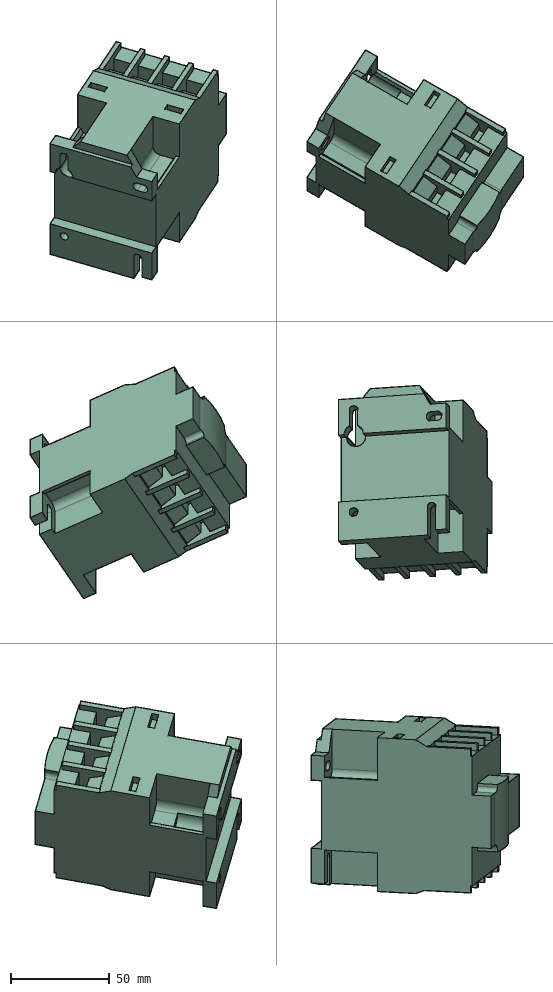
import cadquery as cq
import math


width = 56.6
depth = 96.4
height = 80

mount_face_y = 5.4
shoulder_y = 55.1
upper_chamfer_end_y = 61.2
lower_chamfer_end_y = 59.6
rib_end_y = 83.9
housing_back_y = 84.8
upper_rib_z = 76.7
lower_rib_z = 1.8
rib_height = 3.7

flange_thickness = 7.1
lower_flange_top = 20.6
upper_flange_bottom = 56.0
upper_flange_top = 74.8
notched_corner_z = 69.0
notched_corner_x = 48.1
cut_flange_bottom = 2.5

pocket_back_y = 34.9
upper_left_pocket_depth = 16.1
upper_right_pocket_depth = 14.65
lower_pocket_depth = 13.3
lip_width = 1.8
lip_slope_width = 1.4
upper_lip_z = 57.8
lower_lip_z = 20.05
pocket_floor_drop = 2.5
pocket_fillet = 4.05

wedge_front_y = 2.1
wedge_left_bottom_x = 11.8
wedge_left_top_x = upper_left_pocket_depth
wedge_right_top_x = width - upper_right_pocket_depth
wedge_right_slope = (notched_corner_x - wedge_right_top_x) / (height - notched_corner_z)
wedge_right_bottom_x = wedge_right_top_x + wedge_right_slope * (height - upper_flange_top)

left_hole_x = 7.9
lower_hole_z = 14.8
hole_radius = 2.2
open_slot_x = 48.9
keyhole_z = 55.9
keyhole_head_radius = 5.0
keyhole_head_depth = 23.1
keyhole_stem_top = 70.9
obround_x = 50.2
obround_z = 62.7
obround_length = 8.1
obround_width = 4.8

terminal_count = 4
rib_width = 2.6
terminal_front_y = 61.6
ramp_end_y = 69.6
clamp_front_y = 75.0
terminal_floor_depth = 14.5
ramp_start_depth = 2.5
ramp_end_depth = 6.6

top_slot_length = 9.1
top_slot_width = 3.6
top_slot_depth = 4.8
top_slot_inset = 2.5
top_slot_y = 42.6

knob_side_y = 94.7
knob_center_x = 35.2
knob_bulge_half_width = 13.7
knob_middle_half_width = 10.8
knob_side_bottom = 25.6
knob_side_top = 52.8
knob_middle_bottom = 21.8
knob_middle_top = 56.8
knob_fillet = 2.5


def box(x0, x1, y0, y1, z0, z1):
    """Block between two corners."""
    return cq.Workplane("XY").box(x1 - x0, y1 - y0, z1 - z0, centered=False).translate((x0, y0, z0))


def section(y):
    """Sketch plane across the part at the given y, with X and Z as its axes."""
    return cq.Workplane("XZ", origin=(0, y, 0))


def rod(x, z, radius, y1):
    """Cylinder along Y from the mounting face to y1."""
    return section(0).center(x, z).circle(radius).extrude(-y1)


def housing():
    profile = [
        (mount_face_y, 0),
        (shoulder_y, 0),
        (lower_chamfer_end_y, lower_rib_z),
        (rib_end_y, lower_rib_z),
        (rib_end_y, lower_rib_z + rib_height),
        (housing_back_y, lower_rib_z + rib_height),
        (housing_back_y, upper_rib_z - rib_height),
        (rib_end_y, upper_rib_z - rib_height),
        (rib_end_y, upper_rib_z),
        (upper_chamfer_end_y, upper_rib_z),
        (shoulder_y, height),
        (mount_face_y, height),
    ]
    return cq.Workplane("YZ").polyline(profile).close().extrude(width)


def left_pocket(pocket_depth, lip_z, open_z):
    """Cutter for a pocket in the left side that opens up or down, towards open_z."""
    up = math.copysign(1, open_z - lip_z)
    floor_z = lip_z - up * pocket_floor_drop
    arc_reach = pocket_fillet * math.sqrt(0.5)
    center_x = pocket_depth - pocket_fillet
    center_z = floor_z + up * pocket_fillet
    return (
        section(flange_thickness)
        .moveTo(0, open_z)
        .lineTo(0, lip_z)
        .lineTo(lip_width, lip_z)
        .lineTo(lip_width + lip_slope_width, floor_z)
        .lineTo(center_x, floor_z)
        .threePointArc((center_x + arc_reach, center_z - up * arc_reach), (pocket_depth, center_z))
        .lineTo(pocket_depth, open_z)
        .close()
        .extrude(flange_thickness - pocket_back_y)
    )


def right_pocket(pocket_depth, lip_z, open_z):
    return left_pocket(pocket_depth, lip_z, open_z).mirror("YZ").translate((width, 0, 0))


def lower_flange():
    flange = box(0, width, 0, flange_thickness, 0, lower_flange_top)
    slot_left = open_slot_x - hole_radius
    slot_right = open_slot_x + hole_radius
    flange = flange.cut(rod(left_hole_x, lower_hole_z, hole_radius, flange_thickness))
    flange = flange.cut(rod(open_slot_x, lower_hole_z, hole_radius, flange_thickness))
    flange = flange.cut(box(slot_left, slot_right, 0, flange_thickness, 0, lower_hole_z))
    return flange.cut(box(slot_right, width, 0, flange_thickness, 0, cut_flange_bottom))


def upper_flange():
    """Flange with a notched right corner, plus the wedge that overhangs it."""
    plate_outline = [
        (0, upper_flange_bottom),
        (width, upper_flange_bottom),
        (width, notched_corner_z),
        (notched_corner_x, notched_corner_z),
        (wedge_right_bottom_x, upper_flange_top),
        (0, upper_flange_top),
    ]
    wedge_outline = [
        (wedge_left_bottom_x, upper_flange_top),
        (wedge_right_bottom_x, upper_flange_top),
        (wedge_right_top_x, height),
        (wedge_left_top_x, height),
    ]
    plate = section(0).polyline(plate_outline).close().extrude(-flange_thickness)
    wedge_length = flange_thickness - wedge_front_y
    wedge = section(wedge_front_y).polyline(wedge_outline).close().extrude(-wedge_length)
    obround = (
        section(0)
        .center(obround_x, obround_z)
        .slot2D(obround_length, obround_width)
        .extrude(-flange_thickness)
    )
    return plate.union(wedge).cut(obround)


def keyhole():
    """Cutter: a deep round head with a narrow stem through the upper flange."""
    stem_center_z = keyhole_stem_top - hole_radius
    head = rod(left_hole_x, keyhole_z, keyhole_head_radius, keyhole_head_depth)
    stem = box(
        left_hole_x - hole_radius,
        left_hole_x + hole_radius,
        0,
        flange_thickness,
        keyhole_z,
        stem_center_z,
    )
    stem_end = rod(left_hole_x, stem_center_z, hole_radius, flange_thickness)
    return head.union(stem).union(stem_end)


def terminals(chamfer_end_y, chamfer_height):
    """Cutter for the row of terminal chambers, with the tops of the ribs at z = 0.

    Between the ribs the housing chamfer carries on down to the front of the chambers.
    """
    chamfer_slope = chamfer_height / (chamfer_end_y - shoulder_y)
    chamfer_drop = chamfer_slope * (terminal_front_y - chamfer_end_y)
    profile = [
        (chamfer_end_y, 0),
        (terminal_front_y, -chamfer_drop),
        (terminal_front_y, -ramp_start_depth),
        (ramp_end_y, -ramp_end_depth),
        (ramp_end_y, -terminal_floor_depth),
        (clamp_front_y, -terminal_floor_depth),
        (clamp_front_y, -rib_height),
        (rib_end_y, -rib_height),
        (rib_end_y, 0),
    ]
    pitch = (width - rib_width) / terminal_count
    chamber = cq.Workplane("YZ").polyline(profile).close().extrude(pitch - rib_width)
    row = cq.Workplane("XY")
    for i in range(terminal_count):
        row = row.add(chamber.translate((rib_width + i * pitch, 0, 0)))
    return row.combine()


def top_slot(x0):
    x1 = x0 + top_slot_length
    y1 = top_slot_y + top_slot_width
    return box(x0, x1, top_slot_y, y1, height - top_slot_depth, height)


def knob():
    """Knob with a taller, bulging middle that meets the sides in concave fillets."""
    bulge_left = knob_center_x - knob_bulge_half_width
    bulge_right = knob_center_x + knob_bulge_half_width
    outline = (
        cq.Workplane("XY")
        .moveTo(0, housing_back_y)
        .lineTo(0, knob_side_y)
        .lineTo(bulge_left, knob_side_y)
        .threePointArc((knob_center_x, depth), (bulge_right, knob_side_y))
        .lineTo(width, knob_side_y)
        .lineTo(width, housing_back_y)
        .close()
    )
    middle_left = knob_center_x - knob_middle_half_width
    middle_right = knob_center_x + knob_middle_half_width
    sides = box(0, width, housing_back_y, depth, knob_side_bottom, knob_side_top)
    middle = box(middle_left, middle_right, housing_back_y, depth, knob_middle_bottom, knob_middle_top)
    margin = 1
    inner_corners = cq.selectors.BoxSelector(
        (middle_left - margin, housing_back_y, knob_side_bottom - margin),
        (middle_right + margin, depth, knob_side_top + margin),
    )
    cross = sides.union(middle).edges("|Y").edges(inner_corners).fillet(knob_fillet)
    return outline.extrude(height).intersect(cross)


result = housing()
result = result.cut(box(0, width, 0, flange_thickness, 0, lower_flange_top))
result = result.cut(box(0, width, 0, flange_thickness, upper_flange_bottom, height))
result = result.cut(left_pocket(upper_left_pocket_depth, upper_lip_z, height))
result = result.cut(right_pocket(upper_right_pocket_depth, upper_lip_z, height))
result = result.cut(left_pocket(lower_pocket_depth, lower_lip_z, 0))
result = result.cut(right_pocket(lower_pocket_depth, lower_lip_z, 0))
result = result.union(lower_flange()).union(upper_flange())
result = result.cut(keyhole())
upper_terminals = terminals(upper_chamfer_end_y, height - upper_rib_z)
lower_terminals = terminals(lower_chamfer_end_y, lower_rib_z).mirror("XY")
result = result.cut(upper_terminals.translate((0, 0, upper_rib_z)))
result = result.cut(lower_terminals.translate((0, 0, lower_rib_z)))
result = result.cut(top_slot(top_slot_inset))
result = result.cut(top_slot(width - top_slot_inset - top_slot_length))
result = result.union(knob())